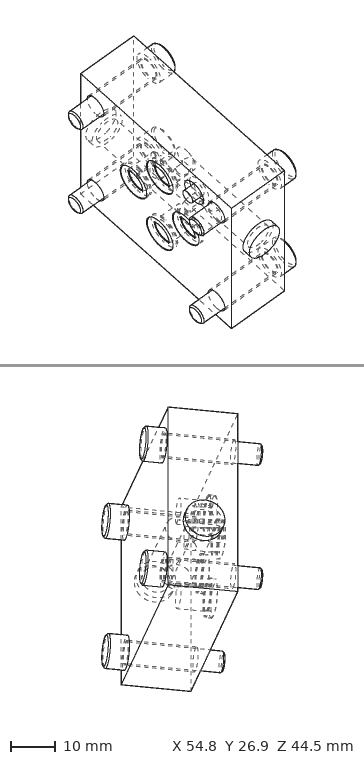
import cadquery as cq


block_width = 50.5
block_depth = 15.875
block_height = 44.45
mid_depth = block_depth / 2

bolt_spots = [(0, 0), (40.5, -0.75), (40.5, 31.75), (0, 31)]
pressure_port = (21.5, 25.9)
tank_port = (21.5, 5.1)
left_port = (12.7, 15.5)
right_port = (30.2, 15.5)
port_spots = [pressure_port, tank_port, left_port, right_port]
pin_spot = (33, 31.75)
pattern_edge_x = 5.0
pattern_edge_z = 6.3
pattern_x = pattern_edge_x - block_width / 2
pattern_z = pattern_edge_z - block_height / 2

bolt_length = 26.92
shank_diameter = 4.9
shank_reach = 6.3
bolt_hole_diameter = 5.6
head_diameter = 7.9
head_height = bolt_length - shank_reach - block_depth
bolt_chamfer = 0.4

pin_diameter = 3.3
pin_reach = 1.9
pin_recess_diameter = 6.35
pin_recess_depth = 1.5

ring_outer_diameter = 8.9
ring_section = 1.6
ring_reach = 0.2
ring_recess_depth = ring_section - ring_reach
port_diameter = 6.1
port_depth = mid_depth

channel_diameter = 6.35
channel_overrun = 1.25
channel_offset = 5.35
plug_diameter = 9.05
plug_thickness = 2.13


def spot_x(spot):
    return pattern_x + spot[0]


def spot_z(spot):
    return pattern_z + spot[1]


def rod_along_y(diameter, spot, y_start, y_end):
    """Cylinder parallel to Y at a spot of the interface pattern."""
    base = cq.Vector(spot_x(spot), y_start, spot_z(spot))
    return cq.Workplane(cq.Solid.makeCylinder(diameter / 2, y_end - y_start, base, cq.Vector(0, 1, 0)))


def rod_along_x(diameter, z, x_start, x_end):
    """Cylinder parallel to X in the middle of the block's depth."""
    base = cq.Vector(x_start, mid_depth, z)
    return cq.Workplane(cq.Solid.makeCylinder(diameter / 2, x_end - x_start, base, cq.Vector(1, 0, 0)))


def cut_ports(block):
    """Blind ports, each opening into a recess that holds an O-ring."""
    for spot in port_spots:
        block = block.cut(rod_along_y(port_diameter, spot, 0, port_depth))
        block = block.cut(rod_along_y(ring_outer_diameter, spot, 0, ring_recess_depth))
    return block


def add_channels_and_plugs(block):
    """One channel from each side, capped by a plug on the side face."""
    side = block_width / 2
    upper_z = spot_z(left_port) + channel_offset
    lower_z = spot_z(left_port) - channel_offset
    upper_end = spot_x(pressure_port) - channel_overrun
    lower_end = spot_x(tank_port) + channel_overrun
    block = block.cut(rod_along_x(channel_diameter, upper_z, upper_end, side))
    block = block.cut(rod_along_x(channel_diameter, lower_z, -side, lower_end))
    block = block.union(rod_along_x(plug_diameter, upper_z, side, side + plug_thickness))
    block = block.union(rod_along_x(plug_diameter, lower_z, -side - plug_thickness, -side))
    return block


def add_pin(block):
    block = block.cut(rod_along_y(pin_recess_diameter, pin_spot, 0, pin_recess_depth))
    return block.union(rod_along_y(pin_diameter, pin_spot, -pin_reach, pin_recess_depth))


def make_bolt(spot):
    shank = rod_along_y(shank_diameter, spot, -shank_reach, block_depth)
    shank = shank.faces("<Y").chamfer(bolt_chamfer)
    head = rod_along_y(head_diameter, spot, block_depth, block_depth + head_height)
    head = head.faces(">Y").chamfer(bolt_chamfer)
    return shank.union(head)


def add_bolts(block):
    """Bolts seated by their heads on the back face, with clearance around the shanks."""
    for spot in bolt_spots:
        block = block.cut(rod_along_y(bolt_hole_diameter, spot, 0, block_depth))
        block = block.union(make_bolt(spot))
    return block


def make_valve_block():
    block = cq.Workplane("XY").box(block_width, block_depth, block_height)
    block = block.translate((0, mid_depth, 0))
    block = add_channels_and_plugs(block)
    block = cut_ports(block)
    block = add_pin(block)
    return add_bolts(block)


def make_o_ring(spot):
    """Torus resting on the floor of its port recess."""
    section_radius = ring_section / 2
    centre_radius = ring_outer_diameter / 2 - section_radius
    centre = cq.Vector(spot_x(spot), section_radius - ring_reach, spot_z(spot))
    return cq.Workplane(cq.Solid.makeTorus(centre_radius, section_radius, centre, cq.Vector(0, 1, 0)))


valve_block = make_valve_block()
o_rings = [make_o_ring(spot) for spot in port_spots]

result = cq.Compound.makeCompound([valve_block.solids().val(), *[ring.val() for ring in o_rings]])